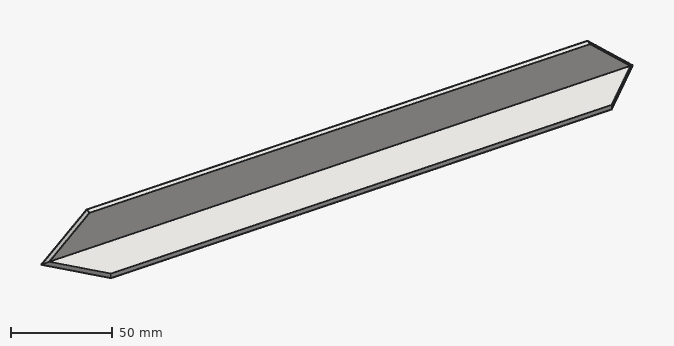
import cadquery as cq

length = 331.5
leg = 25.5
thickness = 3.0
miter_inset = leg
half_length = length / 2


def mitred_outline(plane):
    """Trapezoid with its long side on the heel of the angle."""
    return (
        cq.Workplane(plane)
        .moveTo(-half_length, 0)
        .lineTo(half_length, 0)
        .lineTo(half_length - miter_inset, leg)
        .lineTo(-half_length + miter_inset, leg)
        .close()
    )


upright_plane = cq.Plane(origin=(0, 0, 0), xDir=(0, 1, 0), normal=(1, 0, 0))
flat_plane = cq.Plane(origin=(0, 0, 0), xDir=(0, -1, 0), normal=(0, 0, 1))

mitred_block = mitred_outline(upright_plane).extrude(leg).intersect(mitred_outline(flat_plane).extrude(leg))

inner_width = leg - thickness
inner_space = cq.Workplane("XY").box(inner_width, length, inner_width, centered=(False, True, False))
inner_space = inner_space.translate((thickness, 0, thickness))

result = mitred_block.cut(inner_space)